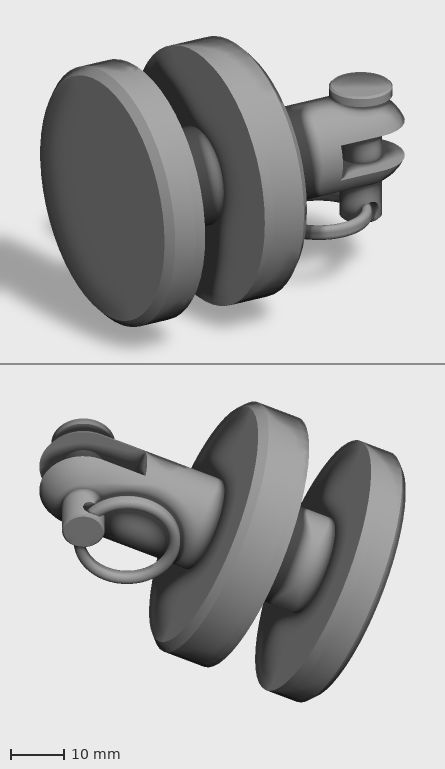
import cadquery as cq
import math

OVERALL_LENGTH = 64.05

DISC_DIAMETER = 50.0
DISC_CHAMFER = 1.5
GASKET_THICKNESS = 2.0
FRONT_DISC_THICKNESS = 5.95
BACK_DISC_THICKNESS = 7.95
SPACER_DIAMETER = 19.0
CLAMP_GAP = 12.9

SHAFT_DIAMETER = 18.0
SLOT_HEIGHT = 7.2
SLOT_DEPTH = 17.2

PIN_DIAMETER = 8.0
PIN_HEAD_DIAMETER = 12.0
PIN_HEAD_THICKNESS = 2.0
PIN_CHAMFER = 0.4
PIN_BOTTOM_Z = -15.95
RING_HOLE_DIAMETER = 3.5

RING_DIAMETER = 20.0
RING_WIDTH = 2.0
RING_HEIGHT = 2.8
RING_Z = -13.45
RING_CENTER_Y = 46.7

front_gasket_y = FRONT_DISC_THICKNESS
spacer_start_y = front_gasket_y + GASKET_THICKNESS
back_gasket_y = spacer_start_y + CLAMP_GAP
back_disc_y = back_gasket_y + GASKET_THICKNESS
back_disc_end_y = back_disc_y + BACK_DISC_THICKNESS
slot_end_y = OVERALL_LENGTH - SLOT_DEPTH

shaft_radius = SHAFT_DIAMETER / 2
tip_reach = math.sqrt(shaft_radius**2 - (SLOT_HEIGHT / 2) ** 2)
pin_y = OVERALL_LENGTH - tip_reach


def cylinder_y(diameter, start_y, end_y):
    """Solid cylinder around the Y axis between two stations."""
    plane = cq.Workplane("XZ", origin=(0, start_y, 0))
    return plane.circle(diameter / 2).extrude(start_y - end_y)


def cylinder_z(diameter, bottom_z, top_z):
    """Solid cylinder around the pin axis between two heights."""
    plane = cq.Workplane("XY", origin=(0, pin_y, bottom_z))
    return plane.circle(diameter / 2).extrude(top_z - bottom_z)


def make_front_disc():
    """Front disc with the spacer that reaches to the back disc."""
    disc = cylinder_y(DISC_DIAMETER, 0, front_gasket_y).faces("<Y").chamfer(DISC_CHAMFER)
    return disc.union(cylinder_y(SPACER_DIAMETER, front_gasket_y, back_disc_y))


def make_gasket(start_y):
    """Flat gasket that fits around the spacer."""
    end_y = start_y + GASKET_THICKNESS
    bore = cylinder_y(SPACER_DIAMETER, start_y, end_y)
    return cylinder_y(DISC_DIAMETER, start_y, end_y).cut(bore)


def make_clevis():
    """Back disc with a slotted, round-ended shaft bored for the pin."""
    disc = cylinder_y(DISC_DIAMETER, back_disc_y, back_disc_end_y).faces(">Y").chamfer(DISC_CHAMFER)
    shaft = cylinder_y(SHAFT_DIAMETER, back_disc_end_y, pin_y)
    round_end = cq.Workplane("XY", origin=(0, pin_y, 0)).sphere(shaft_radius)
    slot_length = pin_y + SHAFT_DIAMETER - slot_end_y
    slot = cq.Workplane("XY").box(SHAFT_DIAMETER, slot_length, SLOT_HEIGHT, centered=(True, False, True))
    slot = slot.translate((0, slot_end_y, 0))
    pin_bore = cylinder_z(PIN_DIAMETER, -shaft_radius, shaft_radius)
    return disc.union(shaft).union(round_end).cut(slot).cut(pin_bore)


def make_pin():
    """Headed pin, chamfered at both ends, with a cross hole for the ring."""
    shank = cylinder_z(PIN_DIAMETER, PIN_BOTTOM_Z, shaft_radius).faces("<Z").chamfer(PIN_CHAMFER)
    head_top_z = shaft_radius + PIN_HEAD_THICKNESS
    head = cylinder_z(PIN_HEAD_DIAMETER, shaft_radius, head_top_z).faces(">Z").chamfer(PIN_CHAMFER)
    cross_hole = (
        cq.Workplane("YZ", origin=(0, pin_y, RING_Z))
        .circle(RING_HOLE_DIAMETER / 2)
        .extrude(PIN_DIAMETER, both=True)
    )
    return shank.union(head).cut(cross_hole)


def make_ring():
    """Ring with an obround section, flat on its inner and outer sides."""
    middle_radius = (RING_DIAMETER - RING_WIDTH) / 2
    return (
        cq.Workplane("XZ", origin=(0, RING_CENTER_Y, RING_Z))
        .center(middle_radius, 0)
        .slot2D(RING_HEIGHT, RING_WIDTH, 90)
        .revolve(360, (-middle_radius, 0, 0), (-middle_radius, 1, 0))
    )


front_disc = make_front_disc()
gaskets = [make_gasket(start_y) for start_y in (front_gasket_y, back_gasket_y)]
clevis = make_clevis()
ring = make_ring()
pin = make_pin().cut(ring)

result = cq.Compound.makeCompound(
    [front_disc.val(), *[gasket.val() for gasket in gaskets], clevis.val(), pin.val(), ring.val()]
)